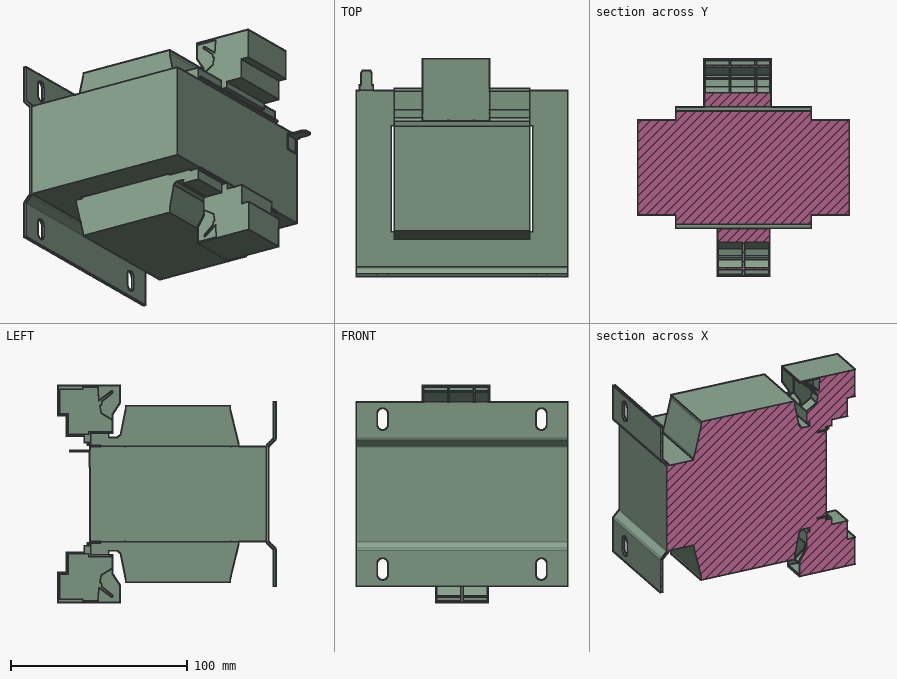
import cadquery as cq


CORE_WIDTH = 120.0
CORE_LENGTH = 100.0
CORE_HEIGHT = 54.0
CORE_FRONT = 5.5
CORE_BACK = CORE_FRONT + CORE_LENGTH
LIMB = CORE_LENGTH / 5
WINDOW_WIDTH = 80.0
WINDOW_FRONT = CORE_FRONT + LIMB
WINDOW_BACK = CORE_BACK - LIMB

BRACKET_WIDTH = 120.06
SHEET = 1.5
BRACKET_HEIGHT = 104.6
BEND_INNER = 0.5
BEND_OUTER = BEND_INNER + SHEET
TAN_HALF_BEND = 2 ** 0.5 - 1
SLOT_WIDTH = 6.0
SLOT_LENGTH = 12.2
SLOT_X = 45.0
SLOT_Z = 42.5

BOBBIN_WIDTH = 77.0
COIL_TOP = 50.1
COIL_FRONT = 21.1
COIL_TOP_FRONT = 25.9
COIL_TOP_BACK = 85.3
COIL_EDGE = 2.0
COIL_FOOT = 28.4
COIL_BACK_FOOT = (88.2, 33.7)
GROOVE_BACK = 94.7
GROOVE_FLOOR = 32.2
GROOVE_CORNER = 90.0
LEDGE_TOP = 34.4
LEDGE_BACK = 105.1
LIP_BACK = 106.9
LIP_TOP = 28.5
LIP_BOTTOM = 27.6
LIP_ROOT = 99.6

BLOCK_BACK = 123.62
BLOCK_TOP = 61.55
BLOCK_FRONT = 88.4
UPPER_BLOCK_LEFT = -22.4
LOWER_BLOCK_LEFT = -15.0
POCKET_WIDTH = 13.6
HALF_POCKET_WIDTH = 7.4
WALL = 0.6
UPPER_DIVIDER = 1.1
LOWER_DIVIDER = 1.6
RIB_WIDTH = 1.1
RIB_HEIGHT = 0.3
RIM = 1.0
PANEL_DEPTH = 0.2
THROAT_FRONT = 92.6
THROAT_TOP = 45.2
NOSE_BOTTOM = 51.7
STEP_BACK = 118.8
STEP_Z = 44.4
BLOCK_BOTTOM = 32.9
FOOT_BACK = 108.8
FOOT_BOTTOM = 29.2
POCKET_TOP = BLOCK_TOP - RIM
POCKET_BACK = 101.0
PANEL_STEP = 109.5
POCKET_OVERRUN = 3.0
POCKET_FRONT = BLOCK_FRONT - POCKET_OVERRUN
RAMP_TOP = (99.1, 45.9)
RAMP_BOTTOM = (THROAT_FRONT, 41.9)
SPRING_ROOT_TOP = (100.4, 53.0)
SPRING_TIP_TOP = (93.0, 58.6)
SPRING_TIP_BOTTOM = (92.5, 57.6)
SPRING_ROOT_BOTTOM = (98.9, 52.3)
SPRING_HEEL = (98.8, 51.0)
POCKET_WALL_TOP = (99.8, 50.0)

TAB_X = -54.2
TAB_SHEET = 0.9
TAB_BLADE_WIDTH = 6.3
TAB_BASE_WIDTH = 8.0
TAB_TOP = 24.9
TAB_BOTTOM = 15.4
TAB_LEG = 0.5
TAB_BASE_END = 108.7
TAB_END = 116.9
TAB_TIP_X = 0.9
TAB_TIP_Y = 1.7


def box(x_range, y_range, z_range):
    """Box spanning the given (low, high) ranges."""
    sizes = [high - low for low, high in (x_range, y_range, z_range)]
    corner = (x_range[0], y_range[0], z_range[0])
    return cq.Workplane("XY").box(*sizes, centered=False).translate(corner)


def prism_x(points, x_low, x_high):
    """Extrude a (Y, Z) outline from x_low to x_high."""
    plane = cq.Workplane("YZ", origin=(x_low, 0, 0))
    return plane.polyline(points).close().extrude(x_high - x_low)


def make_core():
    half_width = CORE_WIDTH / 2
    half_window = WINDOW_WIDTH / 2
    z_range = (-CORE_HEIGHT / 2, CORE_HEIGHT / 2)
    core = box((-half_width, half_width), (CORE_FRONT, CORE_BACK), z_range)
    window = box((-half_window, half_window), (WINDOW_FRONT, WINDOW_BACK), z_range)
    return core.cut(window)


def make_bracket():
    plate_front = CORE_FRONT - SHEET
    bend_shift = SHEET * TAN_HALF_BEND
    plate_bend = CORE_HEIGHT / 2
    flange_bend = plate_bend + plate_front
    flange_end = BRACKET_HEIGHT / 2
    inner_plate_corner = (CORE_FRONT, plate_bend + bend_shift)
    inner_flange_corner = (SHEET, flange_bend + bend_shift)
    outer_plate_corner = (plate_front, plate_bend)
    outer_flange_corner = (0, flange_bend)
    upper = [
        inner_plate_corner,
        inner_flange_corner,
        (SHEET, flange_end),
        (0, flange_end),
        outer_flange_corner,
        outer_plate_corner,
    ]
    lower = [(y, -z) for y, z in reversed(upper)]
    half_width = BRACKET_WIDTH / 2
    bracket = prism_x(upper + lower, -half_width, half_width)

    bends = [
        (inner_plate_corner, BEND_OUTER),
        (inner_flange_corner, BEND_INNER),
        (outer_flange_corner, BEND_OUTER),
        (outer_plate_corner, BEND_INNER),
    ]
    for (y, z), radius in bends:
        for side in (1, -1):
            corner = cq.selectors.NearestToPointSelector((0, y, side * z))
            bracket = bracket.edges("|X").edges(corner).fillet(radius)

    slot_centres = [(x, z) for x in (-SLOT_X, SLOT_X) for z in (-SLOT_Z, SLOT_Z)]
    slots = (
        cq.Workplane("XZ")
        .pushPoints(slot_centres)
        .slot2D(SLOT_LENGTH, SLOT_WIDTH, 90)
        .extrude(-SHEET)
    )
    return bracket.cut(slots)


def make_bobbin():
    half_width = BOBBIN_WIDTH / 2
    core_top = CORE_HEIGHT / 2
    upper_half = [
        (COIL_FRONT, core_top),
        (COIL_FRONT, COIL_FOOT),
        (COIL_TOP_FRONT, COIL_TOP - COIL_EDGE),
        (COIL_TOP_FRONT, COIL_TOP),
        (COIL_TOP_BACK, COIL_TOP),
        (COIL_TOP_BACK, COIL_TOP - COIL_EDGE),
        COIL_BACK_FOOT,
        (GROOVE_CORNER, GROOVE_FLOOR),
        (GROOVE_BACK, GROOVE_FLOOR),
        (GROOVE_BACK, LEDGE_TOP),
        (LEDGE_BACK, LEDGE_TOP),
        (LEDGE_BACK, LIP_TOP),
        (LIP_BACK, LIP_TOP),
        (LIP_BACK, LIP_BOTTOM),
        (LIP_ROOT, LIP_BOTTOM),
        (LIP_ROOT, core_top),
    ]
    overhang = prism_x(upper_half, -half_width, half_width)
    winding = box((-half_width, half_width), (WINDOW_FRONT, WINDOW_BACK), (-core_top, core_top))
    return winding.union(overhang).union(overhang.mirror("XY"))


def pocket_cutter(x_low, x_high, inset=0.0):
    """Wire-entry pocket around the clamping spring, its walls moved inwards by inset."""
    outline = [
        (POCKET_FRONT, POCKET_TOP),
        (POCKET_BACK, POCKET_TOP),
        SPRING_ROOT_TOP,
        SPRING_TIP_TOP,
        SPRING_TIP_BOTTOM,
        SPRING_ROOT_BOTTOM,
        SPRING_HEEL,
        POCKET_WALL_TOP,
        RAMP_TOP,
        RAMP_BOTTOM,
        (POCKET_FRONT, RAMP_BOTTOM[1]),
    ]
    sketch = cq.Workplane("YZ", origin=(x_low, 0, 0)).polyline(outline).close()
    if inset:
        sketch = sketch.offset2D(-inset, "intersection")
    return sketch.extrude(x_high - x_low)


def end_panel(x_left):
    """Shallow recess in the -X end of a block, with the end of the spring next to it."""
    panel_outline = [
        (POCKET_BACK, POCKET_TOP),
        (PANEL_STEP, POCKET_TOP),
        (PANEL_STEP, POCKET_TOP - RIM),
        (BLOCK_BACK - RIM, POCKET_TOP - RIM),
        (BLOCK_BACK - RIM, STEP_Z + RIM),
        (STEP_BACK - RIM, STEP_Z + RIM),
        (STEP_BACK - RIM, BLOCK_BOTTOM + RIM),
        (LEDGE_BACK + RIM, BLOCK_BOTTOM + RIM),
        (LEDGE_BACK + RIM, LEDGE_TOP + RIM),
        (THROAT_FRONT, LEDGE_TOP + RIM),
        RAMP_BOTTOM,
        RAMP_TOP,
        POCKET_WALL_TOP,
        SPRING_HEEL,
        SPRING_ROOT_BOTTOM,
        SPRING_TIP_BOTTOM,
        SPRING_TIP_TOP,
        SPRING_ROOT_TOP,
    ]
    return prism_x(panel_outline, x_left, x_left + PANEL_DEPTH)


def make_block(x_left, bays):
    """Terminal block above the bobbin; bays lists (pocket width, width of the wall after it)."""
    width = WALL + sum(pocket_width + wall for pocket_width, wall in bays)
    outline = [
        (BLOCK_FRONT, BLOCK_TOP),
        (BLOCK_BACK, BLOCK_TOP),
        (BLOCK_BACK, STEP_Z),
        (STEP_BACK, STEP_Z),
        (STEP_BACK, BLOCK_BOTTOM),
        (FOOT_BACK, BLOCK_BOTTOM),
        (FOOT_BACK, FOOT_BOTTOM),
        (LEDGE_BACK, FOOT_BOTTOM),
        (LEDGE_BACK, LEDGE_TOP),
        (THROAT_FRONT, LEDGE_TOP),
        (THROAT_FRONT, THROAT_TOP),
        (BLOCK_FRONT, NOSE_BOTTOM),
    ]
    block = prism_x(outline, x_left, x_left + width)

    pocket_left = x_left + WALL
    for pocket_width, wall in bays:
        pocket_right = pocket_left + pocket_width
        block = block.cut(pocket_cutter(pocket_left, pocket_right))
        pocket_left = pocket_right + wall
    return block.cut(end_panel(x_left))


def make_upper_block():
    """Two and a half modules; the last two pockets are parted only by a low rib."""
    bays = [
        (POCKET_WIDTH, UPPER_DIVIDER),
        (POCKET_WIDTH, RIB_WIDTH),
        (HALF_POCKET_WIDTH, WALL),
    ]
    rib_left = UPPER_BLOCK_LEFT + WALL + POCKET_WIDTH + UPPER_DIVIDER + POCKET_WIDTH
    above_rib = pocket_cutter(rib_left, rib_left + RIB_WIDTH, RIB_HEIGHT)
    return make_block(UPPER_BLOCK_LEFT, bays).cut(above_rib)


def make_lower_block():
    """Two modules, hanging below the bobbin."""
    bays = [(POCKET_WIDTH, LOWER_DIVIDER), (POCKET_WIDTH, WALL)]
    return make_block(LOWER_BLOCK_LEFT, bays).mirror("XY")


def make_earth_tab():
    """Angled tab on the back of the core, ending in a flat connector blade."""
    half_base = TAB_BASE_WIDTH / 2
    half_blade = TAB_BLADE_WIDTH / 2
    half_tip = half_blade - TAB_TIP_X
    right_half = [
        (half_base, CORE_BACK),
        (half_base, TAB_BASE_END),
        (half_blade, TAB_BASE_END),
        (half_blade, TAB_END - TAB_TIP_Y),
        (half_tip, TAB_END),
    ]
    left_half = [(-x, y) for x, y in reversed(right_half)]
    blade = (
        cq.Workplane("XY", origin=(TAB_X, 0, TAB_TOP - TAB_SHEET))
        .polyline(right_half + left_half)
        .close()
        .extrude(TAB_SHEET)
    )
    x_range = (TAB_X - half_base, TAB_X + half_base)
    leg = box(x_range, (CORE_BACK, CORE_BACK + TAB_LEG), (TAB_BOTTOM, TAB_TOP))
    return blade.union(leg)


result = make_core()
for make_component in (make_bracket, make_bobbin, make_upper_block, make_lower_block, make_earth_tab):
    result = result.union(make_component())